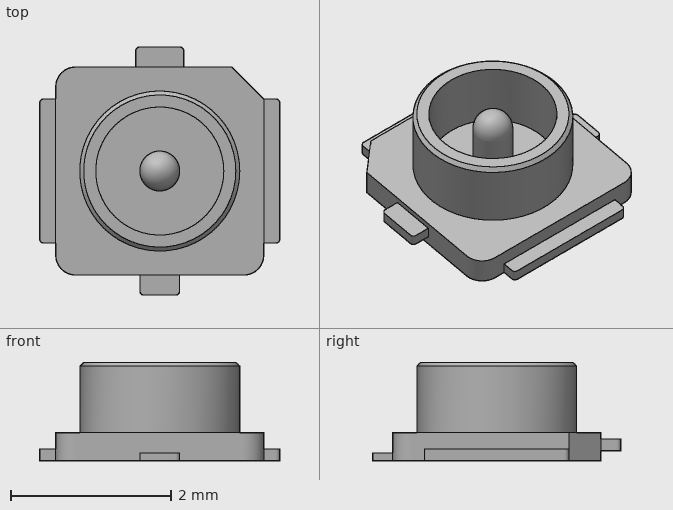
import cadquery as cq

base_side = 2.6
base_height = 0.35
base_corner_radius = 0.25
key_chamfer = 0.4

total_height = 1.23
shell_diameter = 2.0
bore_diameter = 1.6
rim_chamfer = 0.05
floor_height = base_height
pin_diameter = 0.5
pin_radius = pin_diameter / 2
pin_dome_center = total_height - pin_radius

length_x = 3.0
length_y = 3.1
tab_corner_radius = 0.05
side_tab_width = 1.8
side_tab_height = 0.15
front_tab_width = 0.5
front_tab_height = 0.1
rear_tab_width = 0.6
rear_tab_height = 0.15
rear_tab_bottom = 0.125


def make_base():
    half = base_side / 2
    plate = cq.Workplane("XY").box(base_side, base_side, base_height, centered=(True, True, False))
    plate = plate.edges("|Z and (<X or <Y)").fillet(base_corner_radius)
    key_corner = (
        cq.Workplane("XY")
        .moveTo(half, half)
        .lineTo(half - key_chamfer, half)
        .lineTo(half, half - key_chamfer)
        .close()
        .extrude(base_height)
    )
    return plate.cut(key_corner)


def make_shell():
    height = total_height - floor_height
    shell = cq.Workplane("XY").workplane(offset=floor_height).circle(shell_diameter / 2).extrude(height)
    shell = shell.faces(">Z").edges().chamfer(rim_chamfer)
    bore = cq.Workplane("XY").workplane(offset=floor_height).circle(bore_diameter / 2).extrude(height)
    return shell.cut(bore)


def make_pin():
    stem = cq.Workplane("XY").circle(pin_radius).extrude(pin_dome_center)
    dome = cq.Workplane("XY").sphere(pin_radius).translate((0, 0, pin_dome_center))
    return stem.union(dome)


def make_tab(width, reach, height, bottom, angle):
    """Tab from inside the base out to reach along +X, then turned by angle about Z."""
    inner_end = base_side / 4
    tab = cq.Workplane("XY").box(reach - inner_end, width, height, centered=(False, True, False))
    tab = tab.edges("|Z and >X").fillet(tab_corner_radius)
    return tab.translate((inner_end, 0, bottom)).rotate((0, 0, 0), (0, 0, 1), angle)


result = make_base().union(make_shell()).union(make_pin())
for side_angle in (0, 180):
    result = result.union(make_tab(side_tab_width, length_x / 2, side_tab_height, 0, side_angle))
result = result.union(make_tab(front_tab_width, length_y / 2, front_tab_height, 0, -90))
result = result.union(make_tab(rear_tab_width, length_y / 2, rear_tab_height, rear_tab_bottom, 90))